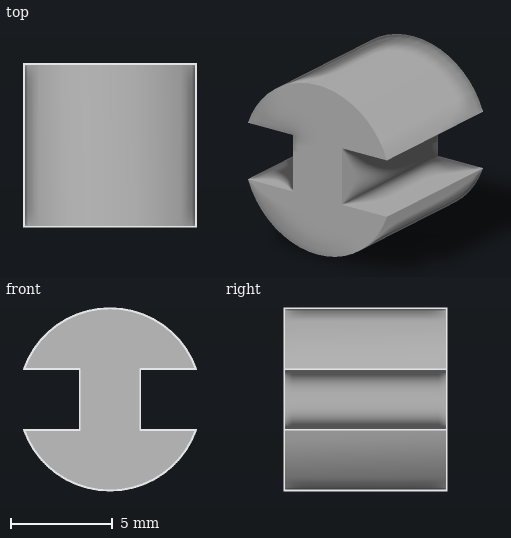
import cadquery as cq

diameter = 8.97
length = 8.0
slot_height = 2.99
web_width = 2.99

slot_depth = (diameter - web_width) / 2
slot_offset = (diameter + web_width) / 4

bar = cq.Workplane("XZ").circle(diameter / 2).extrude(length / 2, both=True)


def side_slot(side):
    """Rectangular full-length slot on the +X (side=1) or -X (side=-1) flank."""
    slot = cq.Workplane("XY").box(slot_depth, length, slot_height)
    return slot.translate((side * slot_offset, 0, 0))


result = bar
for side in (-1, 1):
    result = result.cut(side_slot(side))